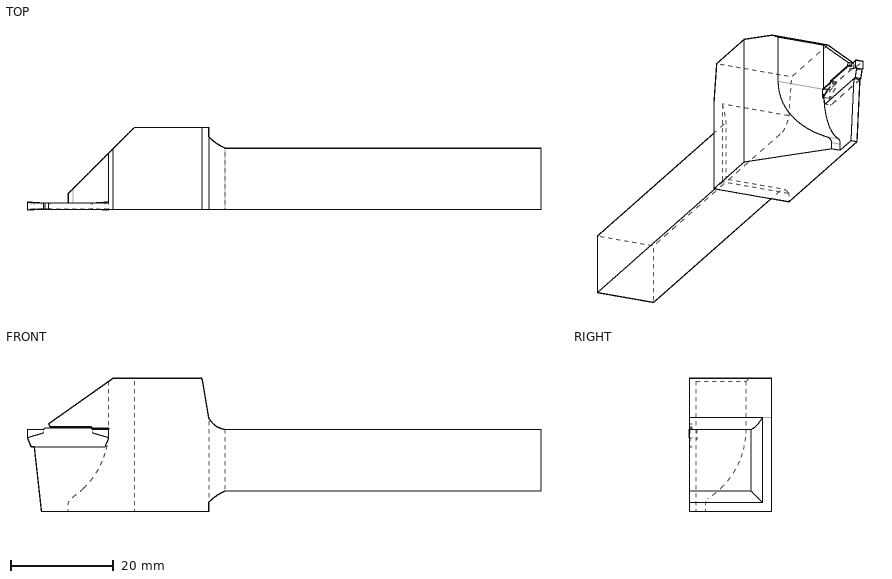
import cadquery as cq
import math

LENGTH = 100.0
HEAD_HEIGHT = 26.0
FRONT_Y = 0.1
HEAD_BACK_Y = 16.1
SHANK_SIZE = 12.0
SHANK_BOTTOM = 4.0
SHANK_TOP = SHANK_BOTTOM + SHANK_SIZE
SHANK_BACK_Y = FRONT_Y + SHANK_SIZE

TOE_X = 2.7
BLADE_FRONT_X = 1.3
NOSE_X, NOSE_Z = 4.1, 17.1
NOSE_UNDERCUT = 0.4
SLOPE_TOP_X = 16.7
HEAD_TOP_END_X = 34.0
HEAD_END_X = 35.3
NECK_END_X = 38.5
TOP_NECK_START_Z = 18.3
TOP_NECK_BULGE = 0.5
NECK_DROP = 2.2
NECK_BULGE = 0.2

BLADE_BACK_Y = 1.4
DIAGONAL_END_X = 20.8
RELIEF_X = 15.8
RELIEF_RADIUS = 16.0
RELIEF_TOP_Z = SHANK_TOP
RELIEF_END_Z = 2.8
RELIEF_FOOT_X = 7.9
RELIEF_FOOT_Z = 1.3
FOOT_BULGE = 0.25

INSERT_LENGTH = 15.8
INSERT_BOTTOM = 12.6
INSERT_TOP = 16.3
TIP_TOP = 16.0
TIP_LENGTH = 3.1
RAMP_LENGTH = 0.3
END_BREAK_Z = 14.3
END_INSET = 0.7
TIP_WIDTH = 1.6
BODY_INSET = 0.2
TIP_EDGE_OUTER_Z = 14.4
TIP_EDGE_INNER_Z = 15.3
ROOF_GAP = 0.2


def bulged_point(start, end, bulge):
    """Point at distance bulge to the left of the middle of a chord."""
    dx = end[0] - start[0]
    dy = end[1] - start[1]
    chord = math.hypot(dx, dy)
    return (start[0] + dx / 2 - bulge * dy / chord, start[1] + dy / 2 + bulge * dx / chord)


def extrude_y(outline, y_start, y_end):
    """Extrude an X-Z outline toward +Y between two Y positions."""
    return outline.extrude(-(y_end - y_start)).translate((0, y_start, 0))


def side_blank():
    """Head, neck and shank outline through the full depth."""
    lower_start = (NECK_END_X, SHANK_BOTTOM)
    lower_end = (HEAD_END_X, SHANK_BOTTOM - NECK_DROP)
    upper_start = (HEAD_END_X, TOP_NECK_START_Z)
    upper_end = (NECK_END_X, SHANK_TOP)
    outline = (
        cq.Workplane("XZ")
        .moveTo(TOE_X, 0)
        .lineTo(HEAD_END_X, 0)
        .lineTo(*lower_end)
        .threePointArc(bulged_point(lower_end, lower_start, NECK_BULGE), lower_start)
        .lineTo(LENGTH, SHANK_BOTTOM)
        .lineTo(LENGTH, SHANK_TOP)
        .lineTo(*upper_end)
        .threePointArc(bulged_point(upper_end, upper_start, TOP_NECK_BULGE), upper_start)
        .lineTo(HEAD_TOP_END_X, HEAD_HEIGHT)
        .lineTo(SLOPE_TOP_X, HEAD_HEIGHT)
        .lineTo(NOSE_X, NOSE_Z)
        .lineTo(NOSE_X + NOSE_UNDERCUT, INSERT_TOP)
        .lineTo(BLADE_FRONT_X, INSERT_BOTTOM)
        .close()
    )
    return extrude_y(outline, FRONT_Y, HEAD_BACK_Y)


def plan_blank():
    """Thin blade, 45 degree flank, neck and shank outline through the full height."""
    neck_end = (NECK_END_X, SHANK_BACK_Y)
    neck_start = (HEAD_END_X, SHANK_BACK_Y + NECK_DROP)
    flank_start_x = DIAGONAL_END_X - (HEAD_BACK_Y - BLADE_BACK_Y)
    return (
        cq.Workplane("XY")
        .moveTo(0, FRONT_Y)
        .lineTo(LENGTH, FRONT_Y)
        .lineTo(LENGTH, SHANK_BACK_Y)
        .lineTo(*neck_end)
        .threePointArc(bulged_point(neck_start, neck_end, -NECK_BULGE), neck_start)
        .lineTo(HEAD_END_X, HEAD_BACK_Y)
        .lineTo(DIAGONAL_END_X, HEAD_BACK_Y)
        .lineTo(flank_start_x, BLADE_BACK_Y)
        .lineTo(0, BLADE_BACK_Y)
        .close()
        .extrude(HEAD_HEIGHT)
    )


def blade_relief():
    """Material removed behind the blade, bounded by a large arc and a rounded foot."""
    center_x = RELIEF_X - RELIEF_RADIUS
    arc_angle = math.asin((RELIEF_TOP_Z - RELIEF_END_Z) / RELIEF_RADIUS)
    arc_middle = (
        center_x + RELIEF_RADIUS * math.cos(arc_angle / 2),
        RELIEF_TOP_Z - RELIEF_RADIUS * math.sin(arc_angle / 2),
    )
    arc_end = (center_x + RELIEF_RADIUS * math.cos(arc_angle), RELIEF_END_Z)
    foot = (RELIEF_FOOT_X, RELIEF_FOOT_Z)
    outline = (
        cq.Workplane("XZ")
        .moveTo(0, HEAD_HEIGHT)
        .lineTo(RELIEF_X, HEAD_HEIGHT)
        .lineTo(RELIEF_X, RELIEF_TOP_Z)
        .threePointArc(arc_middle, arc_end)
        .threePointArc(bulged_point(arc_end, foot, -FOOT_BULGE), foot)
        .lineTo(RELIEF_FOOT_X, 0)
        .lineTo(0, 0)
        .close()
    )
    return extrude_y(outline, BLADE_BACK_Y, HEAD_BACK_Y)


def insert_outline(roof_gap=0.0):
    """Insert outline in X-Z, optionally raised along its top."""
    ramp_end = TIP_LENGTH + RAMP_LENGTH
    left_half = [
        (END_INSET, INSERT_BOTTOM),
        (0, END_BREAK_Z),
        (0, TIP_TOP + roof_gap),
        (TIP_LENGTH, TIP_TOP + roof_gap),
        (ramp_end, INSERT_TOP + roof_gap),
    ]
    right_half = [(INSERT_LENGTH - x, z) for x, z in reversed(left_half)]
    return cq.Workplane("XZ").polyline(left_half + right_half).close()


def cutting_tip():
    """Left cutting tip: full width at its end, tapering to the body width."""
    side = extrude_y(
        cq.Workplane("XZ")
        .polyline([
            (0, TIP_EDGE_OUTER_Z),
            (TIP_LENGTH, TIP_EDGE_INNER_Z),
            (TIP_LENGTH, TIP_TOP),
            (0, TIP_TOP),
        ])
        .close(),
        0,
        TIP_WIDTH,
    )
    plan = (
        cq.Workplane("XY")
        .polyline([
            (0, 0),
            (TIP_LENGTH, BODY_INSET),
            (TIP_LENGTH, TIP_WIDTH - BODY_INSET),
            (0, TIP_WIDTH),
        ])
        .close()
        .extrude(HEAD_HEIGHT)
    )
    return side.intersect(plan)


def make_holder():
    """Tool holder with an open pocket for the insert."""
    pocket = extrude_y(insert_outline(ROOF_GAP), 0, TIP_WIDTH)
    return side_blank().intersect(plan_blank()).cut(blade_relief()).cut(pocket)


def make_insert():
    """Narrow insert body with a wider cutting tip at each end."""
    body = extrude_y(insert_outline(), BODY_INSET, TIP_WIDTH - BODY_INSET)
    left_tip = cutting_tip()
    right_tip = left_tip.mirror("YZ").translate((INSERT_LENGTH, 0, 0))
    return body.union(left_tip).union(right_tip)


holder = make_holder()
insert = make_insert()
result = cq.Compound.makeCompound([holder.val(), insert.val()])